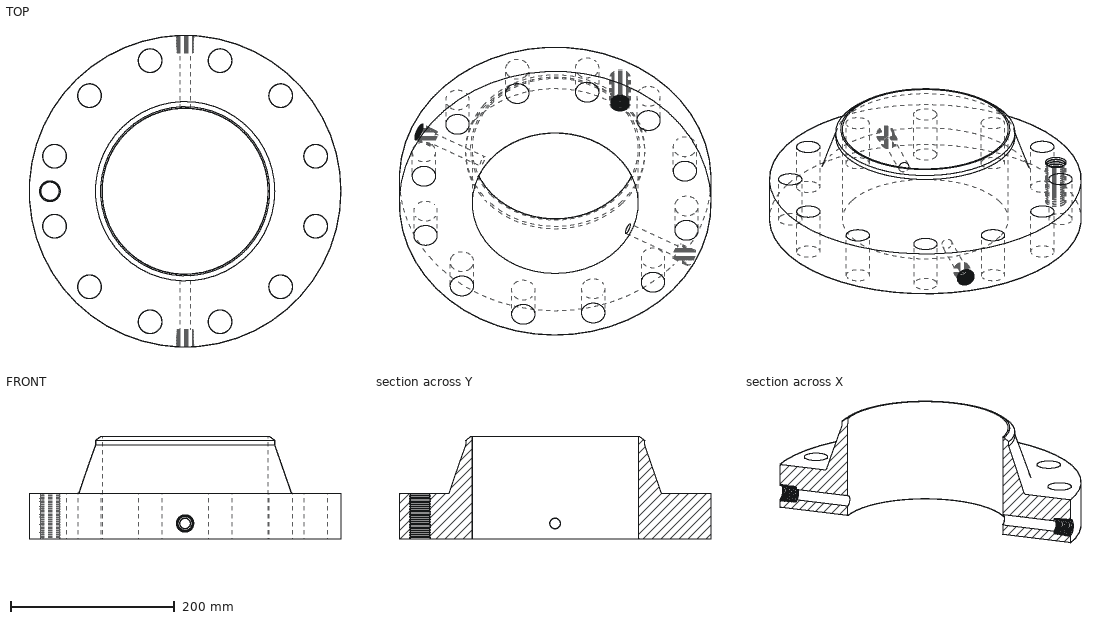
import math

import cadquery as cq

inch = 25.4

flange_diameter = 381.0
flange_thickness = 55.6
overall_height = 125.27
bore_diameter = 202.7
pipe_diameter = 219.1
hub_base_diameter = 260.4
hub_fillet_radius = 2.5
pipe_stub_height = 5.5

weld_land = 2.0
bevel_angle = 37.5

bolt_count = 12
bolt_hole_diameter = 28.6
bolt_circle_diameter = 330.2

jack_major_diameter = inch
jack_minor_diameter = 22.2
jack_pitch = inch / 8

tap_height = 19.0
tap_drill_diameter = inch / 2
tap_major_diameter = 21.3
tap_minor_diameter = 18.4
tap_pitch = inch / 14
tap_thread_turns = 12
tap_taper = 1 / 16


def make_body():
    """Revolve the flange disc, hub cone, pipe stub and weld bevel around Z."""
    bore_radius = bore_diameter / 2
    flange_radius = flange_diameter / 2
    pipe_radius = pipe_diameter / 2
    land_radius = bore_radius + weld_land
    bevel_height = (pipe_radius - land_radius) * math.tan(math.radians(bevel_angle))
    bevel_start = overall_height - bevel_height
    profile = [
        (bore_radius, 0),
        (flange_radius, 0),
        (flange_radius, flange_thickness),
        (hub_base_diameter / 2, flange_thickness),
        (pipe_radius, bevel_start - pipe_stub_height),
        (pipe_radius, bevel_start),
        (land_radius, overall_height),
        (bore_radius, overall_height),
    ]
    body = cq.Workplane("XZ").polyline(profile).close().revolve(360, (0, 0), (0, 1))
    hub_foot = cq.selectors.NearestToPointSelector((-hub_base_diameter / 2, 0, flange_thickness))
    return body.edges(hub_foot).fillet(hub_fillet_radius)


def thread_cutter(major_diameter, minor_diameter, pitch, turns, taper=0.0):
    """Solid of a threaded hole going up from Z = 0, with one V-shaped ring groove per turn."""
    depth = turns * pitch
    profile = [(0, 0)]
    for turn in range(turns):
        crest_z = turn * pitch
        root_z = crest_z + pitch / 2
        profile.append(((minor_diameter - taper * crest_z) / 2, crest_z))
        profile.append(((major_diameter - taper * root_z) / 2, root_z))
    profile.append(((minor_diameter - taper * depth) / 2, depth))
    profile.append((0, depth))
    return cq.Workplane("XZ").polyline(profile).close().revolve(360, (0, 0), (0, 1))


def make_bolt_holes():
    """Plain through holes, with the first one half a spacing away from +X."""
    spacing = 360 / bolt_count
    return (
        cq.Workplane("XY")
        .polarArray(bolt_circle_diameter / 2, spacing / 2, 360, bolt_count)
        .circle(bolt_hole_diameter / 2)
        .extrude(flange_thickness)
    )


def make_jack_hole():
    """Threaded through hole on the -X side of the bolt circle."""
    turns = math.ceil(flange_thickness / jack_pitch) + 1
    cutter = thread_cutter(jack_major_diameter, jack_minor_diameter, jack_pitch, turns)
    top = flange_thickness + jack_pitch / 2
    return cutter.rotate((0, 0, 0), (1, 0, 0), 180).translate((-bolt_circle_diameter / 2, 0, top))


def make_pressure_tap(side):
    """Threaded mouth at the rim and a plain drill into the bore; side is -1 or 1 along Y."""
    flange_radius = flange_diameter / 2
    thread = thread_cutter(
        tap_major_diameter, tap_minor_diameter, tap_pitch, tap_thread_turns, tap_taper
    )
    drill = cq.Workplane("XY").circle(tap_drill_diameter / 2).extrude(flange_radius)
    tap = thread.union(drill)
    return tap.rotate((0, 0, 0), (1, 0, 0), 90 * side).translate((0, side * flange_radius, tap_height))


result = make_body()
result = result.cut(make_bolt_holes())
result = result.cut(make_jack_hole())
for side in (-1, 1):
    result = result.cut(make_pressure_tap(side))